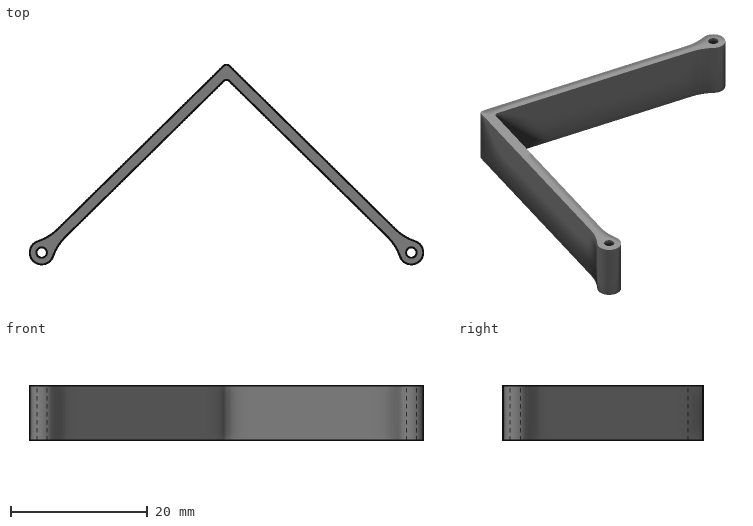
import cadquery as cq
import math

overall_length = 57.5
height = 8.0
boss_diameter = 3.5
hole_diameter = 1.5
arm_thickness = 1.6
apex_rise = 26.55
apex_radius = 0.6
neck_radius = 7.5

boss_radius = boss_diameter / 2
hole_x = overall_length / 2 - boss_radius
hole_centers = [(-hole_x, 0), (hole_x, 0)]
arm_angle = math.atan2(apex_rise, hole_x)
half_thickness = arm_thickness / 2
apex_offset = half_thickness / math.cos(arm_angle)
end_dx = half_thickness * math.sin(arm_angle)
end_dy = half_thickness * math.cos(arm_angle)


def make_arms():
    """V-shaped strip whose square ends lie at the hole centres, with a rounded apex."""
    outline = [
        (-hole_x - end_dx, end_dy),
        (0, apex_rise + apex_offset),
        (hole_x + end_dx, end_dy),
        (hole_x - end_dx, -end_dy),
        (0, apex_rise - apex_offset),
        (-hole_x + end_dx, -end_dy),
    ]
    strip = cq.Workplane("XY").polyline(outline).close().extrude(height)
    apex_box = cq.selectors.BoxSelector(
        (-half_thickness, apex_rise - arm_thickness, 0),
        (half_thickness, apex_rise + arm_thickness, height),
    )
    return strip.edges("|Z").edges(apex_box).fillet(apex_radius)


def blend_necks(body):
    """Round the vertical corners where the arm faces run into the boss cylinders."""
    corner_reach = math.sqrt(boss_radius**2 - half_thickness**2)
    for x, y in hole_centers:
        toward_apex = -math.copysign(1, x)
        for side in (-1, 1):
            corner = (
                x + toward_apex * (corner_reach * math.cos(arm_angle) - side * end_dx),
                y + corner_reach * math.sin(arm_angle) + side * end_dy,
                height / 2,
            )
            body = body.edges(cq.selectors.NearestToPointSelector(corner)).fillet(neck_radius)
    return body


bosses = cq.Workplane("XY").pushPoints(hole_centers).circle(boss_radius).extrude(height)
holes = cq.Workplane("XY").pushPoints(hole_centers).circle(hole_diameter / 2).extrude(height)

result = blend_necks(make_arms().union(bosses)).cut(holes)